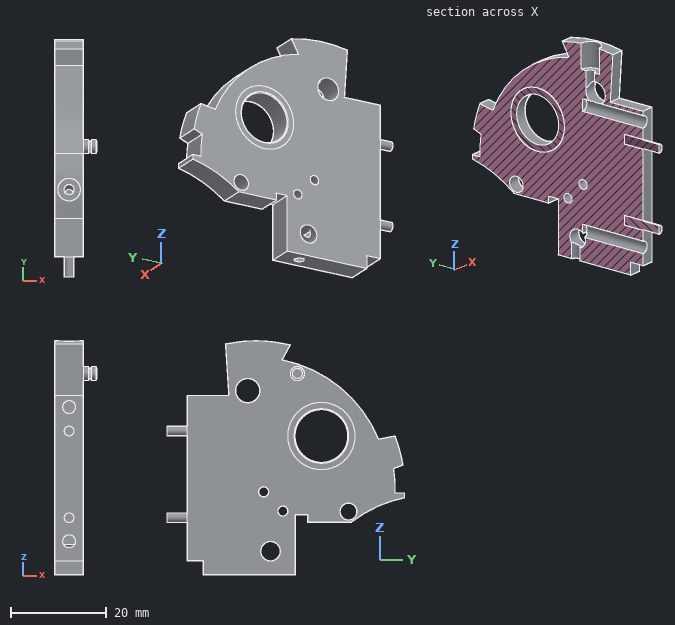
import cadquery as cq
import math

thickness = 6.0
mid_x = thickness / 2

tab_radius = 31.2
valley_radius = 27.75
notch_radius = 29.1
top_tab_rear_y = 7.25
top_tab_front_y = -6.35
valley_top_y = 5.5
valley_rear_y = 25.65
rear_tab_top_y = 29.05
rear_tab_bottom_y = 30.75
notch_top_y = 28.75
lip_y = 31.05
lip_top_z = -0.55
lip_bottom_z = -1.6
under_arc_mid = (25.2, -3.5)
belly_rear_y = 19.95
belly_z = -6.7
belly_front_y = 10.8
step_height = 1.55
foot_rear_y = 8.25
foot_front_y = -11.0
foot_z = -17.65
front_y = -14.35
front_bottom_z = -14.77
shoulder_y = -5.65
shoulder_z = 19.8

upper_hole = (-1.7, 20.75, 5.0)
rear_hole = (19.35, -4.45, 3.45)
lower_hole = (3.05, -12.75, 4.0)
small_holes = [(1.65, -0.35, 2.05), (5.65, -4.35, 2.05)]

bushing_y = 13.7
bushing_z = 11.3
bushing_diameter = 14.05
bore_diameter = 11.0
bore_chamfer = 0.2

top_hole_y = -0.3
counterbore_diameter = 4.7
counterbore_floor_z = 25.3
top_drill_diameter = 2.1

bottom_hole_y = 3.55
bottom_hole_diameter = 2.1

pin_diameter = 2.05
pin_projection = 4.2
pin_depth = 4.95
pin_heights = [12.35, -5.75]
front_hole_diameter = 2.7
front_hole_depth = 16.0
front_hole_heights = [17.35, -10.65]

post_y = 8.7
post_z = 24.35
post_length = 2.8
post_radius = 1.5
groove_start = 1.05
groove_end = 1.7
groove_bevel = 0.15
neck_radius = 1.15
tip_radius = 1.05
tip_bevel = 0.15


def on_circle(radius, y):
    """Point at the given Y on the upper half of a circle about the origin."""
    return (y, math.sqrt(radius**2 - y**2))


def arc_middle(radius, start, end):
    """Point on a circle about the origin, halfway between two of its points."""
    angle = (math.atan2(start[1], start[0]) + math.atan2(end[1], end[0])) / 2
    return (radius * math.cos(angle), radius * math.sin(angle))


def x_cylinder(y, z, diameter, length):
    return cq.Workplane("YZ").center(y, z).circle(diameter / 2).extrude(length)


def front_cylinder(z, diameter, start_y, end_y):
    """Cylinder along Y, centred in the plate thickness."""
    section = cq.Workplane("XZ", origin=(mid_x, start_y, z)).circle(diameter / 2)
    return section.extrude(start_y - end_y)


def z_cylinder(y, diameter, bottom_z, top_z):
    """Cylinder along Z, centred in the plate thickness."""
    section = cq.Workplane("XY", origin=(mid_x, y, bottom_z)).circle(diameter / 2)
    return section.extrude(top_z - bottom_z)


def make_blank():
    top_front = on_circle(tab_radius, top_tab_front_y)
    top_rear = on_circle(tab_radius, top_tab_rear_y)
    valley_top = on_circle(valley_radius, valley_top_y)
    valley_rear = on_circle(valley_radius, valley_rear_y)
    rear_top = on_circle(tab_radius, rear_tab_top_y)
    rear_bottom = on_circle(tab_radius, rear_tab_bottom_y)
    notch_top = on_circle(notch_radius, notch_top_y)
    notch_bottom = (math.sqrt(notch_radius**2 - lip_top_z**2), lip_top_z)
    return (
        cq.Workplane("YZ")
        .moveTo(shoulder_y, shoulder_z)
        .lineTo(*top_front)
        .threePointArc((0, tab_radius), top_rear)
        .lineTo(*valley_top)
        .threePointArc(arc_middle(valley_radius, valley_top, valley_rear), valley_rear)
        .lineTo(*rear_top)
        .threePointArc(arc_middle(tab_radius, rear_top, rear_bottom), rear_bottom)
        .lineTo(*notch_top)
        .threePointArc(arc_middle(notch_radius, notch_top, notch_bottom), notch_bottom)
        .lineTo(lip_y, lip_top_z)
        .lineTo(lip_y, lip_bottom_z)
        .threePointArc(under_arc_mid, (belly_rear_y, belly_z))
        .lineTo(belly_front_y, belly_z)
        .lineTo(belly_front_y, belly_z + step_height)
        .lineTo(foot_rear_y, belly_z + step_height)
        .lineTo(foot_rear_y, foot_z)
        .lineTo(foot_front_y, foot_z)
        .lineTo(foot_front_y, front_bottom_z)
        .lineTo(front_y, front_bottom_z)
        .lineTo(front_y, shoulder_z)
        .close()
        .extrude(thickness)
    )


def make_post():
    """Post with a bevelled ring groove, turned about an axis along X."""
    tip = thickness + post_length
    return (
        cq.Workplane("XY", origin=(0, post_y, post_z))
        .moveTo(thickness, 0)
        .lineTo(thickness, post_radius)
        .lineTo(thickness + groove_start, post_radius)
        .lineTo(thickness + groove_start + groove_bevel, neck_radius)
        .lineTo(thickness + groove_end - groove_bevel, neck_radius)
        .lineTo(thickness + groove_end, post_radius)
        .lineTo(tip - tip_bevel, post_radius)
        .lineTo(tip, tip_radius)
        .lineTo(tip, 0)
        .close()
        .revolve(360, (0, 0, 0), (1, 0, 0))
    )


def make_plate():
    plate = make_blank()
    for y, z, diameter in [upper_hole, rear_hole, lower_hole, *small_holes]:
        plate = plate.cut(x_cylinder(y, z, diameter, thickness))
    plate = plate.cut(x_cylinder(bushing_y, bushing_z, bushing_diameter, thickness))

    plate = plate.cut(z_cylinder(top_hole_y, counterbore_diameter, counterbore_floor_z, tab_radius))
    plate = plate.cut(z_cylinder(top_hole_y, top_drill_diameter, upper_hole[1], counterbore_floor_z))
    plate = plate.cut(z_cylinder(bottom_hole_y, bottom_hole_diameter, foot_z, lower_hole[1]))

    for z in front_hole_heights:
        plate = plate.cut(front_cylinder(z, front_hole_diameter, front_y + front_hole_depth, front_y))
    for z in pin_heights:
        plate = plate.cut(front_cylinder(z, pin_diameter, front_y + pin_depth, front_y))
    return plate.union(make_post())


def make_bushing():
    ring = x_cylinder(bushing_y, bushing_z, bushing_diameter, thickness)
    ring = ring.cut(x_cylinder(bushing_y, bushing_z, bore_diameter, thickness))
    bore_edges = cq.selectors.RadiusNthSelector(0)
    return ring.edges(bore_edges).chamfer(bore_chamfer)


def make_pin(z):
    return front_cylinder(z, pin_diameter, front_y + pin_depth, front_y - pin_projection)


plate = make_plate()
bushing = make_bushing()
pins = [make_pin(z).val() for z in pin_heights]

result = cq.Compound.makeCompound([plate.val(), bushing.val(), *pins])